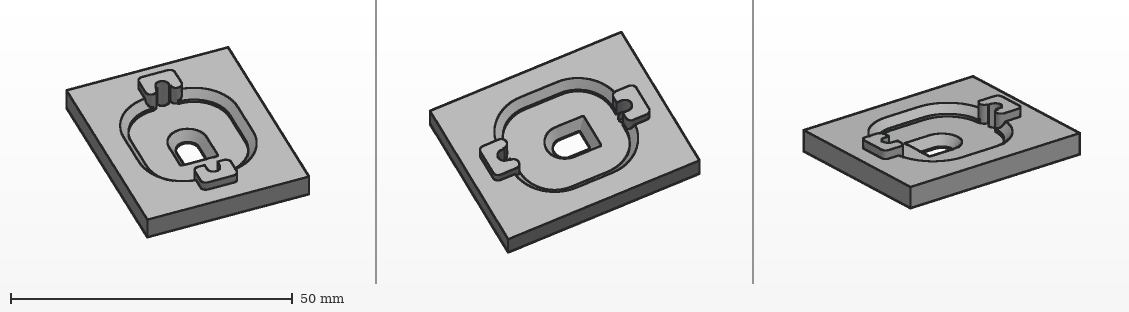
import cadquery as cq

length = 38
width = 31.0
total_height = 5.8
plate_thickness = 4.15

recess_depth = 2.0
recess_center_x = 0.3
recess_length = 23.98
recess_width = 21.9
recess_corner_radius = 8.35
recess_wall_height = 0.55
slope_run = 1.5
floor_z = plate_thickness - recess_depth

window_radius = 3.6
window_flat_x = 5.5
window_wall_height = 0.3
window_corner_radius = 0.2

hole_diameter = 2.45
hole_x = 11.97
clip_outer_x = 15.45
clip_width = 6.9
clip_corner_radius = 1.0
left_slot_start_x = 11.45
right_slot_start_x = 11.97
clearance_margin = 0.38
left_clip_inner_x = 10.37
left_slot_width = 2.77
right_clip_inner_x = 10.9
right_slot_width = hole_diameter


def recess_outline(z, inset):
    """Rounded rectangle at height z, drawn in from the rim by inset."""
    outline = cq.Sketch().rect(recess_length - 2 * inset, recess_width - 2 * inset)
    outline = outline.vertices().fillet(recess_corner_radius - inset)
    return cq.Workplane("XY", origin=(recess_center_x, 0, z)).placeSketch(outline)


def recess_cutter():
    slope_z = floor_z + recess_wall_height
    wall = recess_outline(floor_z, slope_run).extrude(recess_wall_height)
    inner = recess_outline(slope_z, slope_run).extrude(recess_wall_height).faces("<Z").wires().val()
    outer = recess_outline(plate_thickness, 0).extrude(recess_wall_height).faces("<Z").wires().val()
    slope = cq.Solid.makeLoft([inner, outer], True)
    return wall.union(cq.Workplane(slope))


def window_outline(z, inset):
    """D outline at height z, round toward -X and flat toward +X."""
    radius = window_radius - inset
    flat_x = window_flat_x - inset
    return (
        cq.Workplane("XY", origin=(0, 0, z))
        .moveTo(0, radius)
        .threePointArc((-radius, 0), (0, -radius))
        .lineTo(flat_x, -radius)
        .lineTo(flat_x, radius)
        .close()
        .extrude(window_wall_height)
        .edges("|Z and >X")
        .fillet(window_corner_radius)
    )


def window_cutter():
    wall = window_outline(0, slope_run)
    inner = wall.faces(">Z").wires().val()
    outer = window_outline(floor_z, 0).faces("<Z").wires().val()
    slope = cq.Solid.makeLoft([inner, outer], True)
    return wall.union(cq.Workplane(slope))


def block_from_floor(x_start, x_end, block_width):
    """Block from the recess floor up to the top of the clips."""
    return (
        cq.Workplane("XY", origin=((x_start + x_end) / 2, 0, floor_z))
        .rect(abs(x_end - x_start), block_width)
        .extrude(total_height - floor_z)
    )


def clip(side, inner_x):
    block = block_from_floor(side * inner_x, side * clip_outer_x, clip_width)
    return block.edges("|Z").fillet(clip_corner_radius)


plate = cq.Workplane("XY").box(length, width, plate_thickness, centered=(True, True, False))
plate = plate.cut(recess_cutter()).cut(window_cutter())

left_slot = block_from_floor(-left_slot_start_x, -left_clip_inner_x, left_slot_width)
right_slot = block_from_floor(right_slot_start_x, right_clip_inner_x, right_slot_width)
left_clip = clip(-1, left_clip_inner_x).cut(left_slot)
right_clip = clip(1, right_clip_inner_x).cut(right_slot)

pick_margin = 0.05
left_tips = cq.selectors.BoxSelector(
    (-left_clip_inner_x - pick_margin, -left_slot_width / 2 - pick_margin, floor_z - pick_margin),
    (-left_clip_inner_x + pick_margin, left_slot_width / 2 + pick_margin, total_height + pick_margin),
)
left_clip = left_clip.edges("|Z").edges(left_tips).fillet(clip_corner_radius)

pin_holes = (
    cq.Workplane("XY")
    .pushPoints([(-hole_x, 0), (hole_x, 0)])
    .circle(hole_diameter / 2)
    .extrude(total_height)
)
left_clearance_width = left_slot_width + 2 * clip_corner_radius
left_clearance = block_from_floor(-left_slot_start_x, clearance_margin - left_clip_inner_x, left_clearance_width)
right_clearance = block_from_floor(right_slot_start_x, right_clip_inner_x - clearance_margin, right_slot_width)
plate = plate.cut(left_clearance).cut(right_clearance)
result = plate.union(left_clip).union(right_clip).cut(pin_holes)